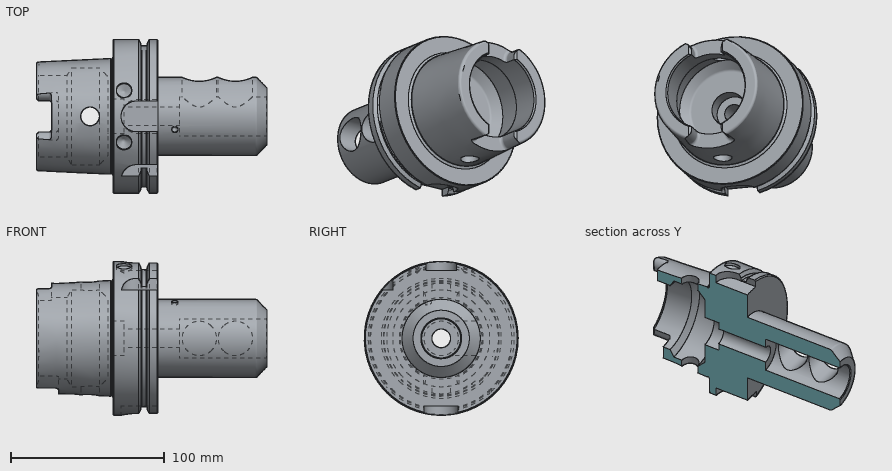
import cadquery as cq
import math


relief_start = 48.2
flange_face = 50.0
groove_wall_near = 68.0
groove_wall_far = 72.0
flange_end = 79.0
nose_cone_start = 143.1
total_length = 150.0

taper_end_radius = 37.6
taper_half_slope = 0.048
taper_tip_radius = taper_end_radius - taper_half_slope * relief_start
tip_round = 1.8
relief_depth = 0.5
relief_flare = 1.8
relief_flare_length = 0.8

flange_radius = 100.0 / 2
face_edge_chamfer = 0.5
back_edge_chamfer = 0.8
groove_floor_radius = 45.9
groove_cone_depth = 2.5
groove_cone_angle = math.radians(30)
groove_cone_width = groove_cone_depth * math.tan(groove_cone_angle)
groove_corner_round = 0.6

nose_radius = 50.8 / 2
nose_tip_radius = 18.3
nose_edge_round = 1.5

mouth_radius = 53.0 / 2
mouth_chamfer_depth = 0.8
mouth_chamfer_length = 1.4
undercut_radius = 63 / 2
undercut_start = 20.0
undercut_cone_angle = math.radians(60)
undercut_cone_length = (undercut_radius - mouth_radius) / math.tan(undercut_cone_angle)
undercut_end = 41.0
cavity_floor = 46.5
cavity_floor_radius = 24.9
cavity_floor_round = 2.2
cavity_cone_angle = math.radians(45)
coolant_thread_diameter = 22.4
coolant_thread_end = 57.0
coolant_diameter = 12.0
tool_bore_diameter = 25.4
tool_bore_start = 93.0
tool_bore_mouth_chamfer = 0.6

drive_slot_width = 20.2
upper_slot_depth = 10.0
lower_slot_depth = 14.5
slot_flare_radius = 5.7
slot_flare_height = 32.4
slot_floor_round = 2.0
slot_mouth_chamfer = 1.5

upper_keyway_width = 20.0
lower_keyway_width = 22.0
pocket_start = 55.0
keyway_floor_height = 44.0
notch_cutter_diameter = 20.0
notch_floor_height = 31.5
notch_wall_offset = 31.4

cross_hole_diameter = 12.0
cross_hole_position = 35.0
flange_hole_diameter = 10.0
flange_hole_position = 57.0
flange_hole_depth = 1.8
nose_hole_diameter = 4.0
nose_hole_position = 90.0
nose_hole_depth = 1.5
hole_angle = 20
drill_half_angle = math.radians(59)
clamp_hole_diameter = 22.4
clamp_hole_positions = (105.9, 129.3)

clearance = 7.5


def revolve_about_axis(profile):
    return profile.close().revolve(360, (0, 0, 0), (1, 0, 0))


def axial_cylinder(diameter, start, end):
    return cq.Workplane("YZ").workplane(offset=start).circle(diameter / 2).extrude(end - start)


def taper_body():
    relief_radius = taper_end_radius - relief_depth
    profile = (
        cq.Workplane("XY")
        .lineTo(0, taper_tip_radius)
        .lineTo(relief_start, taper_end_radius)
        .lineTo(relief_start + relief_depth, relief_radius)
        .lineTo(flange_face - relief_flare_length, relief_radius)
        .lineTo(flange_face, relief_radius + relief_flare)
        .lineTo(flange_face, 0)
    )
    return revolve_about_axis(profile).faces("<X").edges().fillet(tip_round)


def gripper_groove():
    cone_foot_radius = flange_radius - groove_cone_depth
    profile = (
        cq.Workplane("XY")
        .moveTo(groove_wall_near - groove_cone_width, flange_radius)
        .lineTo(groove_wall_near, cone_foot_radius)
        .lineTo(groove_wall_near, groove_floor_radius + groove_corner_round)
        .radiusArc((groove_wall_near + groove_corner_round, groove_floor_radius), -groove_corner_round)
        .lineTo(groove_wall_far - groove_corner_round, groove_floor_radius)
        .radiusArc((groove_wall_far, groove_floor_radius + groove_corner_round), -groove_corner_round)
        .lineTo(groove_wall_far, cone_foot_radius)
        .lineTo(groove_wall_far + groove_cone_width, flange_radius)
        .lineTo(groove_wall_far + groove_cone_width, flange_radius + clearance)
        .lineTo(groove_wall_near - groove_cone_width, flange_radius + clearance)
    )
    return revolve_about_axis(profile)


def flange():
    disc = axial_cylinder(2 * flange_radius, flange_face, flange_end)
    disc = disc.faces("<X").chamfer(face_edge_chamfer)
    disc = disc.faces(">X").chamfer(back_edge_chamfer)
    return disc.cut(gripper_groove())


def nose():
    profile = (
        cq.Workplane("XY")
        .moveTo(flange_face, 0)
        .lineTo(flange_face, nose_radius)
        .lineTo(nose_cone_start, nose_radius)
        .lineTo(total_length, nose_tip_radius)
        .lineTo(total_length, 0)
    )
    edge_center = (nose_cone_start, 0, 0)
    return revolve_about_axis(profile).edges(cq.NearestToPointSelector(edge_center)).fillet(nose_edge_round)


def clamping_cavity():
    round_start = cavity_floor - cavity_floor_round * (1 - math.sin(cavity_cone_angle))
    round_start_radius = cavity_floor_radius + cavity_floor_round * math.cos(cavity_cone_angle)
    profile = (
        cq.Workplane("XY")
        .lineTo(0, mouth_radius + mouth_chamfer_depth)
        .lineTo(mouth_chamfer_length, mouth_radius)
        .lineTo(undercut_start, mouth_radius)
        .lineTo(undercut_start + undercut_cone_length, undercut_radius)
        .lineTo(undercut_end, undercut_radius)
        .lineTo(round_start, round_start_radius)
        .radiusArc((cavity_floor, cavity_floor_radius), cavity_floor_round)
        .lineTo(cavity_floor, 0)
    )
    return revolve_about_axis(profile)


def tool_bore():
    bore_radius = tool_bore_diameter / 2
    profile = (
        cq.Workplane("XY")
        .moveTo(tool_bore_start, 0)
        .lineTo(tool_bore_start, bore_radius)
        .lineTo(total_length - tool_bore_mouth_chamfer, bore_radius)
        .lineTo(total_length, bore_radius + tool_bore_mouth_chamfer)
        .lineTo(total_length, 0)
    )
    return revolve_about_axis(profile)


def drive_slot(depth, side):
    """Slot in the taper end; its walls flare out into a flat. side is +1 for +Z, -1 for -Z."""
    half_width = drive_slot_width / 2
    flat_start = half_width + slot_flare_radius
    flare_foot = slot_flare_height - slot_flare_radius
    outer = taper_end_radius
    inner = mouth_radius / 2
    slot = (
        cq.Workplane("YZ")
        .workplane(offset=-clearance)
        .moveTo(-half_width, inner)
        .lineTo(-half_width, flare_foot)
        .radiusArc((-flat_start, slot_flare_height), -slot_flare_radius)
        .lineTo(-outer, slot_flare_height)
        .lineTo(-outer, outer + clearance)
        .lineTo(outer, outer + clearance)
        .lineTo(outer, slot_flare_height)
        .lineTo(flat_start, slot_flare_height)
        .radiusArc((half_width, flare_foot), -slot_flare_radius)
        .lineTo(half_width, inner)
        .close()
        .extrude(depth + clearance)
        .faces(">X")
        .edges()
        .fillet(slot_floor_round)
    )
    return slot if side > 0 else slot.mirror("XY")


def slot_mouth_bevel():
    half_width = drive_slot_width / 2
    return (
        cq.Workplane("XY")
        .moveTo(0, half_width + slot_mouth_chamfer)
        .lineTo(slot_mouth_chamfer, half_width)
        .lineTo(slot_mouth_chamfer, -half_width)
        .lineTo(0, -half_width - slot_mouth_chamfer)
        .close()
        .extrude(taper_end_radius, both=True)
    )


def milled_pocket(width, center_y, floor_height):
    """Round-ended pocket, open towards +X and +Z."""
    end_radius = width / 2
    end_center = pocket_start + end_radius
    height = flange_radius + clearance - floor_height
    length = flange_end - end_center
    base = cq.Workplane("XY").workplane(offset=floor_height)
    straight = base.center(end_center + length / 2, center_y).rect(length, width).extrude(height)
    round_end = base.center(end_center, center_y).circle(end_radius).extrude(height)
    return straight.union(round_end)


def radial_drill(position, angle, surface_radius, diameter, depth):
    """Blind drilled hole with a conical bottom, leaning by angle from +Z towards -Y."""
    radius = diameter / 2
    point_length = radius / math.tan(drill_half_angle)
    wall_end = surface_radius - depth
    top = surface_radius + clearance
    drill = (
        cq.Workplane("XZ")
        .moveTo(0, wall_end - point_length)
        .lineTo(radius, wall_end)
        .lineTo(radius, top)
        .lineTo(0, top)
        .close()
        .revolve(360, (0, 0, 0), (0, 1, 0))
    )
    return drill.rotate((0, 0, 0), (1, 0, 0), angle).translate((position, 0, 0))


def clamp_screw_hole(position):
    return (
        cq.Workplane("XZ")
        .center(position, 0)
        .circle(clamp_hole_diameter / 2)
        .extrude(-nose_radius - clearance)
    )


body = taper_body().union(flange()).union(nose())

body = body.cut(clamping_cavity())
body = body.cut(axial_cylinder(coolant_thread_diameter, cavity_floor, coolant_thread_end))
body = body.cut(axial_cylinder(coolant_diameter, 0, total_length))
body = body.cut(tool_bore())

body = body.cut(drive_slot(upper_slot_depth, 1)).cut(drive_slot(lower_slot_depth, -1))
body = body.cut(slot_mouth_bevel())

upper_keyway = milled_pocket(upper_keyway_width, 0, keyway_floor_height)
lower_keyway = milled_pocket(lower_keyway_width, 0, keyway_floor_height).mirror("XY")
notch_center = -notch_wall_offset - notch_cutter_diameter / 2
notch = milled_pocket(notch_cutter_diameter, notch_center, notch_floor_height)
body = body.cut(upper_keyway).cut(lower_keyway).cut(notch)

cross_hole = cq.Workplane("XY").center(cross_hole_position, 0).circle(cross_hole_diameter / 2)
body = body.cut(cross_hole.extrude(taper_end_radius + clearance, both=True))
for lean in (-hole_angle, hole_angle):
    body = body.cut(
        radial_drill(flange_hole_position, lean, flange_radius, flange_hole_diameter, flange_hole_depth)
    )
body = body.cut(
    radial_drill(nose_hole_position, hole_angle, nose_radius, nose_hole_diameter, nose_hole_depth)
)
for clamp_position in clamp_hole_positions:
    body = body.cut(clamp_screw_hole(clamp_position))

result = body